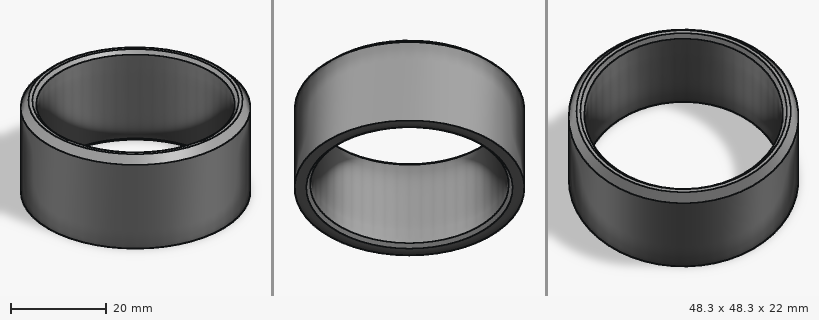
import cadquery as cq

outer_diameter = 48.3
height = 22.0
bore_diameter = 41.75

outer_chamfer = 1.65
bore_chamfer = 0.8

sleeve = (
    cq.Workplane("XY")
    .circle(outer_diameter / 2)
    .circle(bore_diameter / 2)
    .extrude(height)
)

sleeve = sleeve.faces(">Z").edges(cq.selectors.RadiusNthSelector(-1)).chamfer(outer_chamfer)
bore_rims = cq.selectors.RadiusNthSelector(0)
result = sleeve.faces("<Z or >Z").edges(bore_rims).chamfer(bore_chamfer)